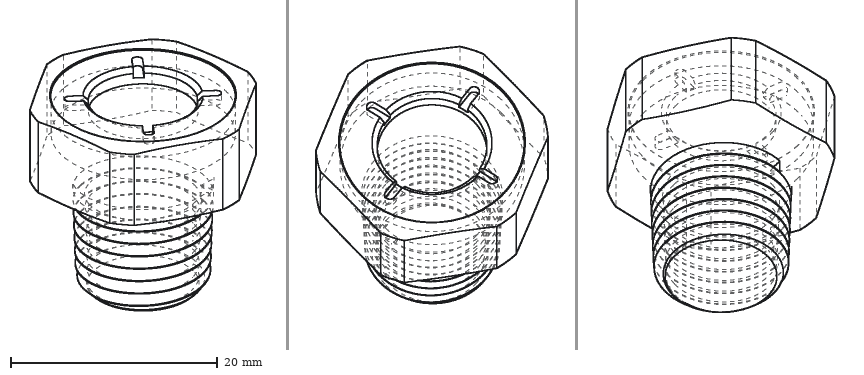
import cadquery as cq
import math

across_flats = 20.64
corner_diameter = 22.56
head_height = 8.31
chamfer_circle_radius = 10.17
head_chamfer_angle = 10.0

shank_length = 12.7
pitch = 25.4 / 18
taper = 1 / 32
shank_base_radius = 6.51
fillet_radius = 1.23
end_face_radius = 5.43
thread_depth = 1.14
half_flank_angle = 30.0
thread_turns = 8
root_height_at_x = 10.57
runout_angle = 45.0
cutter_overshoot = 0.03

bore_radius = 8.95
rim_chamfer = 0.1

ring_thickness = 1.7
opening_radius = 5.32
opening_chamfer = 0.5
slot_count = 4
slot_width = 1.04
slot_depth = 1.0
slot_tip_radius = 7.63
first_slot_angle = 45.0

window_thickness = 2.5

head_top = shank_length + head_height
ring_top = head_top - rim_chamfer
window_top = ring_top - ring_thickness
bore_floor = window_top - window_thickness


def shank_radius(height):
    """Crest radius of the tapered shank at a given height."""
    return shank_base_radius + taper * height


def make_head():
    """Hexagonal prism cut by a turned envelope that rounds and chamfers the corners."""
    corner_radius = corner_diameter / 2
    drop = (corner_radius - chamfer_circle_radius) * math.tan(math.radians(head_chamfer_angle))
    hexagon_diameter = across_flats / math.cos(math.pi / 6)
    prism = (
        cq.Workplane("XY", origin=(0, 0, shank_length))
        .polygon(6, hexagon_diameter)
        .extrude(head_height)
    )
    envelope = (
        cq.Workplane("XZ")
        .moveTo(0, shank_length)
        .lineTo(chamfer_circle_radius, shank_length)
        .lineTo(corner_radius, shank_length + drop)
        .lineTo(corner_radius, head_top - drop)
        .lineTo(chamfer_circle_radius, head_top)
        .lineTo(0, head_top)
        .close()
        .revolve(360, (0, 0), (0, 1))
    )
    return prism.intersect(envelope)


def make_shank():
    """Tapered shank with a 45 degree end chamfer and a fillet flaring into the head."""
    end_chamfer = (shank_base_radius - end_face_radius) / (1 - taper)
    fillet_start = shank_length - fillet_radius
    neck_radius = shank_radius(fillet_start)
    arc_offset = fillet_radius * (1 - math.sqrt(0.5))
    return (
        cq.Workplane("XZ")
        .lineTo(end_face_radius, 0)
        .lineTo(shank_radius(end_chamfer), end_chamfer)
        .lineTo(neck_radius, fillet_start)
        .threePointArc(
            (neck_radius + arc_offset, shank_length - arc_offset),
            (neck_radius + fillet_radius, shank_length),
        )
        .lineTo(0, shank_length)
        .close()
        .revolve(360, (0, 0), (0, 1))
        .rotate((0, 0, 0), (0, 0, 1), 180)
    )


def make_thread_groove():
    """V-shaped groove swept along a right-handed helix that follows the taper."""
    helix_height = thread_turns * pitch
    start_height = root_height_at_x + pitch * runout_angle / 360 - helix_height
    start_radius = shank_radius(start_height)
    taper_angle = math.degrees(math.atan(taper))
    helix = cq.Wire.makeHelix(
        pitch, helix_height, start_radius, cq.Vector(0, 0, start_height), angle=taper_angle
    )
    half_mouth = (thread_depth + cutter_overshoot) * math.tan(math.radians(half_flank_angle))
    mouth_radius = start_radius + cutter_overshoot
    return (
        cq.Workplane("XZ")
        .moveTo(start_radius - thread_depth, start_height)
        .lineTo(mouth_radius - taper * half_mouth, start_height - half_mouth)
        .lineTo(mouth_radius + taper * half_mouth, start_height + half_mouth)
        .close()
        .sweep(cq.Workplane(helix), isFrenet=True)
        .rotate((0, 0, 0), (0, 0, 1), runout_angle)
    )


def make_bore():
    """Blind bore from the top of the head with a small chamfer at its rim."""
    return (
        cq.Workplane("XZ")
        .moveTo(0, bore_floor)
        .lineTo(bore_radius, bore_floor)
        .lineTo(bore_radius, ring_top)
        .lineTo(bore_radius + rim_chamfer, head_top)
        .lineTo(0, head_top)
        .close()
        .revolve(360, (0, 0), (0, 1))
    )


def make_housing():
    threaded_shank = make_shank().cut(make_thread_groove())
    return make_head().union(threaded_shank).cut(make_bore())


def make_slot(angle):
    """Cutter for one radial wrench slot with a round outer end."""
    floor = ring_top - slot_depth
    tip_center = slot_tip_radius - slot_width / 2
    channel = (
        cq.Workplane("XY", origin=(0, 0, floor))
        .rect(tip_center, slot_width)
        .extrude(slot_depth)
        .translate((tip_center / 2, 0, 0))
    )
    round_end = (
        cq.Workplane("XY", origin=(tip_center, 0, floor))
        .circle(slot_width / 2)
        .extrude(slot_depth)
    )
    return channel.union(round_end).rotate((0, 0, 0), (0, 0, 1), angle)


def make_retaining_ring():
    ring = (
        cq.Workplane("XY", origin=(0, 0, window_top))
        .circle(bore_radius)
        .circle(opening_radius)
        .extrude(ring_thickness)
    )
    opening_edge = ring.faces(">Z").edges(cq.selectors.RadiusNthSelector(0))
    ring = opening_edge.chamfer(opening_chamfer)
    for index in range(slot_count):
        ring = ring.cut(make_slot(first_slot_angle + index * 360 / slot_count))
    return ring


def make_window():
    return (
        cq.Workplane("XY", origin=(0, 0, bore_floor))
        .circle(bore_radius)
        .extrude(window_thickness)
    )


housing = make_housing().solids()
retaining_ring = make_retaining_ring().solids()
window = make_window().solids()

result = cq.Compound.makeCompound([housing.val(), retaining_ring.val(), window.val()])